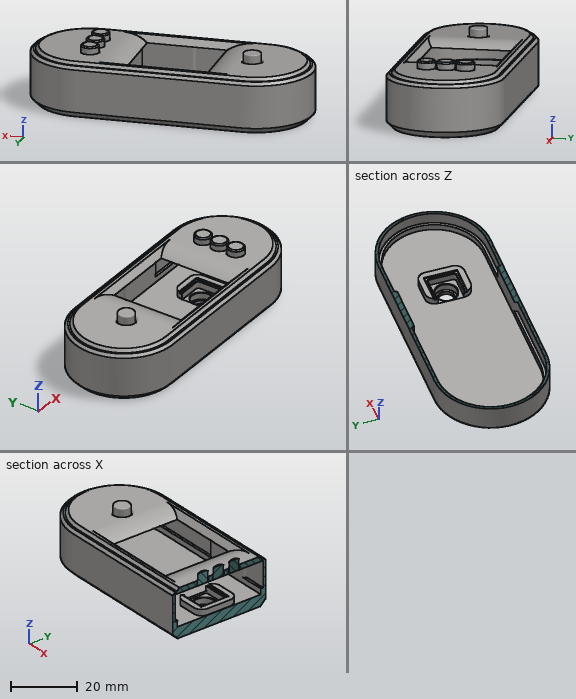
import cadquery as cq
case_length = 87.8
case_width = 35.7
overall_height = 19.8
lid_top = 17.5
rim_top = 16.5
bottom_chamfer = 2.0
rim_chamfer = 1.0
end_spacing = case_length - case_width

lid_inset = 1.6
lid_thickness = 2.0
lid_chamfer = 1.0
lid_width = case_width - 2 * lid_inset
lid_bottom = lid_top - lid_thickness

window_x = -1.0
window_length = 39.7
opening_length = 24.9
opening_width = 24.4
window_width = opening_width + 2 * lid_thickness

floor_z = 4.2
ledge_z = 6.2
lower_cavity_width = 31.8
upper_cavity_width = 33.5
pad_x_start = -1.7
pad_x_end = 13.8
pad_depth = (upper_cavity_width - lower_cavity_width) / 2
pad_fillet = pad_depth / 2

socket_x_start = 10.7
socket_corner = 3.0
socket_wall = 2.0
socket_top = 6.4
step_depth = 0.4
step_border = 0.8
pocket_x_start = 10.6
pocket_side = 8.95
pocket_chamfer = 0.2
pocket_corner = 0.8
pocket_floor_z = 3.5
bore_diameter = 7.0
bore_chamfer = 0.2
bore_floor_z = 1.1
through_diameter = 5.4
step_width = pocket_side + 2 * step_border
socket_width = step_width + 2 * socket_wall
step_z = socket_top - step_depth
pocket_x = pocket_x_start + pocket_side / 2
step_x_end = pocket_x_start + pocket_side + step_border
socket_x_end = step_x_end + socket_wall

knob_x = -24.8
knob_diameter = 5.4
knob_fillet = 0.3
knob_hole_diameter = 6.0
knob_hole_fillet = 0.9
button_x = 24.3
button_middle_y = -0.3
button_pitch = 6.0
button_diameter = 5.5
button_hole_diameter = 5.7
button_chamfer = 0.4
button_positions = [(button_x, button_middle_y + i * button_pitch) for i in (-1, 0, 1)]


def stadium(width, z_bottom, z_top):
    """Round-ended block on the two end axes of the case."""
    return (
        cq.Workplane("XY", origin=(0, 0, z_bottom))
        .slot2D(end_spacing + width, width)
        .extrude(z_top - z_bottom)
    )


def block(x_start, x_end, width, z_bottom, z_top):
    """Rectangular block centred on the X axis."""
    return (
        cq.Workplane("XY", origin=((x_start + x_end) / 2, 0, z_bottom))
        .rect(x_end - x_start, width)
        .extrude(z_top - z_bottom)
    )


def cylinder(x, y, diameter, z_bottom, z_top):
    return (
        cq.Workplane("XY", origin=(x, y, z_bottom))
        .circle(diameter / 2)
        .extrude(z_top - z_bottom)
    )


def make_wall_pad(side):
    """Pad on one long cavity wall (side = 1 or -1), its ends blended by two quarter arcs."""
    wall_y = side * upper_cavity_width / 2
    middle_y = wall_y - side * pad_fillet
    face_y = side * lower_cavity_width / 2
    turn = pad_fillet * 0.5 ** 0.5
    return (
        cq.Workplane("XY", origin=(0, 0, ledge_z))
        .moveTo(pad_x_start - 2 * pad_fillet, wall_y)
        .threePointArc(
            (pad_x_start - 2 * pad_fillet + turn, middle_y + side * turn),
            (pad_x_start - pad_fillet, middle_y),
        )
        .threePointArc((pad_x_start - turn, middle_y - side * turn), (pad_x_start, face_y))
        .lineTo(pad_x_end, face_y)
        .threePointArc((pad_x_end + turn, middle_y - side * turn), (pad_x_end + pad_fillet, middle_y))
        .threePointArc(
            (pad_x_end + 2 * pad_fillet - turn, middle_y + side * turn),
            (pad_x_end + 2 * pad_fillet, wall_y),
        )
        .close()
        .extrude(lid_bottom - ledge_z)
    )


def make_pocket_block(side, corner, z_bottom):
    """Square block with rounded corners, centred on the pocket."""
    pocket = block(pocket_x - side / 2, pocket_x + side / 2, side, z_bottom, socket_top)
    return pocket.edges("|Z").fillet(corner)


def add_socket(housing):
    """Raised socket with a stepped square pocket, a bore and a through hole."""
    boss = block(socket_x_start, socket_x_end, socket_width, floor_z, socket_top)
    boss = boss.edges("|Z").fillet(socket_corner)
    step = block(socket_x_start, step_x_end, step_width, step_z, socket_top)
    pocket = make_pocket_block(pocket_side, pocket_corner, pocket_floor_z)
    pocket_rim = make_pocket_block(
        pocket_side + 2 * pocket_chamfer, pocket_corner + pocket_chamfer, step_z - pocket_chamfer
    )
    pocket_rim = pocket_rim.faces("<Z").chamfer(pocket_chamfer)
    bore = cylinder(pocket_x, 0, bore_diameter, bore_floor_z, pocket_floor_z)
    bore_rim = cq.Workplane(cq.Solid.makeCone(
        bore_diameter / 2,
        bore_diameter / 2 + bore_chamfer,
        bore_chamfer,
        cq.Vector(pocket_x, 0, pocket_floor_z - bore_chamfer),
    ))
    through_hole = cylinder(pocket_x, 0, through_diameter, 0, socket_top)
    housing = housing.union(boss)
    for cutter in (step, pocket, pocket_rim, bore_rim, bore, through_hole):
        housing = housing.cut(cutter)
    return housing


def make_housing():
    housing = stadium(case_width, 0, rim_top)
    housing = housing.faces("<Z").chamfer(bottom_chamfer)
    housing = housing.faces(">Z").chamfer(rim_chamfer)
    housing = housing.cut(stadium(lid_width, lid_bottom, lid_top))
    housing = housing.cut(stadium(upper_cavity_width, ledge_z, lid_bottom))
    housing = housing.cut(stadium(lower_cavity_width, floor_z, ledge_z))
    for side in (1, -1):
        housing = housing.union(make_wall_pad(side))
    return add_socket(housing)


def make_window_cutter():
    """Window with rounded-over short sides and 45 degree long sides."""
    run = (window_length - opening_length) / 2
    radius = (run ** 2 + lid_thickness ** 2) / (2 * lid_thickness)
    mid_run = run / 2
    mid_drop = radius - (radius ** 2 - mid_run ** 2) ** 0.5
    half_top = window_length / 2
    half_bottom = opening_length / 2
    along_x = (
        cq.Workplane("XZ", origin=(window_x, window_width / 2, lid_top))
        .moveTo(-half_top, 0)
        .threePointArc((-half_top + mid_run, -mid_drop), (-half_bottom, -lid_thickness))
        .lineTo(half_bottom, -lid_thickness)
        .threePointArc((half_top - mid_run, -mid_drop), (half_top, 0))
        .close()
        .extrude(window_width)
    )
    along_y = (
        cq.Workplane("YZ", origin=(window_x - half_top, 0, lid_top))
        .polyline([
            (-window_width / 2, 0),
            (-opening_width / 2, -lid_thickness),
            (opening_width / 2, -lid_thickness),
            (window_width / 2, 0),
        ])
        .close()
        .extrude(window_length)
    )
    return along_x.intersect(along_y)


def make_lid():
    lid = stadium(lid_width, lid_bottom, lid_top)
    lid = lid.faces(">Z").chamfer(lid_chamfer)
    lid = lid.cut(cylinder(knob_x, 0, knob_hole_diameter, lid_bottom, lid_top))
    hole_rim = lid.faces(">Z").edges(cq.selectors.RadiusNthSelector(0))
    lid = hole_rim.fillet(knob_hole_fillet)
    for x, y in button_positions:
        lid = lid.cut(cylinder(x, y, button_hole_diameter, lid_bottom, lid_top))
    return lid.cut(make_window_cutter())


def make_knob():
    knob = cylinder(knob_x, 0, knob_diameter, lid_bottom, overall_height)
    return knob.faces(">Z").edges().fillet(knob_fillet)


def make_button(x, y):
    button = cylinder(x, y, button_diameter, lid_bottom, overall_height)
    return button.faces(">Z").edges().chamfer(button_chamfer)


housing = make_housing()
lid = make_lid()
knob = make_knob()
buttons = [make_button(x, y) for x, y in button_positions]

result = cq.Compound.makeCompound(
    [housing.val(), lid.val(), knob.val(), *[button.val() for button in buttons]]
)